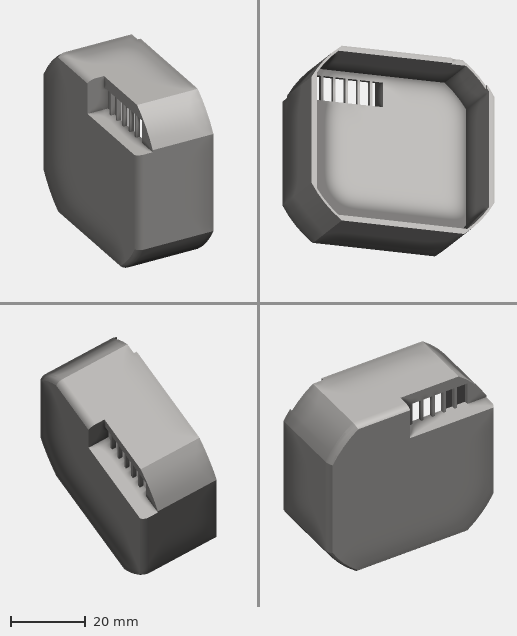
import cadquery as cq

width = 52.35
depth = 23.6
height = 49.0
corner_radius = 30.1

edge_length = 2.2
edge_inset = 0.95
edge_radius = (edge_length**2 + edge_inset**2) / (2 * edge_inset)

side_wall = 1.5
corner_wall = 0.65

notch_left = -0.85
notch_bottom = 14.25
notch_depth = 5.0
plate_thickness = 1.2
cavity_front = notch_depth + plate_thickness

slots_right = 20.25
slots_top = 21.1
rib_count = 5
rib_width = 0.8
rib_pitch = 3.5
first_rib_x = 2.55

gap_left = -24.1
gap_right = -14.25
gap_depth = 0.9


def box(x_range, y_range, z_range):
    """Axis-aligned box between the given limits."""
    size = [high - low for low, high in (x_range, y_range, z_range)]
    return cq.Workplane("XY").box(*size, centered=False).translate(
        (x_range[0], y_range[0], z_range[0])
    )


def half_profile(plane, reach):
    """Half section from the axis out to reach, with the rounded front edge."""
    arc_y = edge_length / 2
    arc_inset = edge_radius - (edge_radius**2 - (edge_length - arc_y) ** 2) ** 0.5
    return (
        cq.Workplane(plane)
        .moveTo(0, 0)
        .lineTo(reach - edge_inset, 0)
        .threePointArc((reach - arc_inset, arc_y), (reach, edge_length))
        .lineTo(reach, depth)
        .lineTo(0, depth)
        .close()
    )


def rounded_slab(plane, reach, length):
    """Slab with both front edges rounded, centred on the Y axis."""
    half = half_profile(plane, reach).extrude(length / 2, both=True)
    return half.union(half.rotate((0, 0, 0), (0, 1, 0), 180))


def make_body():
    across_x = rounded_slab("XY", width / 2, height)
    across_z = rounded_slab("ZY", height / 2, width)
    drum = half_profile("XY", corner_radius).revolve(360, (0, 0, 0), (0, 1, 0))
    return across_x.intersect(across_z).intersect(drum)


def make_cavity():
    inner_x = width / 2 - side_wall
    inner_z = height / 2 - side_wall
    core = box((-inner_x, inner_x), (cavity_front, depth), (-inner_z, inner_z))
    drum = cq.Workplane("XZ").circle(corner_radius - corner_wall).extrude(-depth)
    return core.intersect(drum)


def make_slots():
    plate_y = (notch_depth, cavity_front)
    slot_z = (notch_bottom, slots_top)
    slots = box((notch_left, slots_right), plate_y, slot_z)
    for index in range(rib_count):
        rib_x = first_rib_x + index * rib_pitch
        slots = slots.cut(box((rib_x - rib_width / 2, rib_x + rib_width / 2), plate_y, slot_z))
    return slots


notch = box((notch_left, width / 2), (0, notch_depth), (notch_bottom, height / 2))
rim_gap = box((gap_left, gap_right), (depth - gap_depth, depth), (0, height / 2))

result = make_body().cut(make_cavity()).cut(notch).cut(make_slots()).cut(rim_gap)